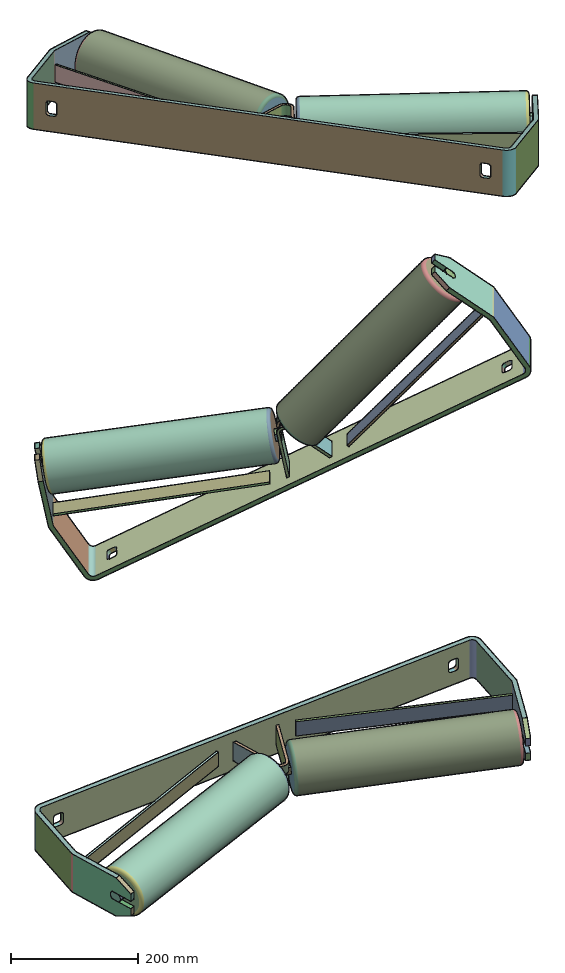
import cadquery as cq
import math


frame_length = 810.0
bar_width = 80.0
bar_thickness = 8.0
corner_radius = 12.0
arm_bend_radius = 8.0
arm_bend_y = 127.0
arm_length = 120.0
tip_chamfer_length = 30.0
tip_chamfer_depth = 17.0
mount_hole_width = 18.0
mount_hole_height = 25.0
mount_hole_corner_radius = 5.0
mount_hole_inset = 45.0

roller_slope = 20.0
roller_dip = 1.0
seat_distance = 88.0

roller_diameter = 89.0
roller_length = 366.0
roller_edge_radius = 6.0
roller_gap = 4.0
shaft_diameter = 20.0
shaft_flat_width = 15.0

bracket_thickness = 5.0
bracket_arch_radius = 10.5
bracket_height = 40.0
brace_thickness = 4.0
brace_height = 30.0
brace_end_x = -70.5

slope_sin = math.sin(math.radians(roller_slope))
slope_cos = math.cos(math.radians(roller_slope))
dip_sin = math.sin(math.radians(roller_dip))
dip_cos = math.cos(math.radians(roller_dip))
arm_direction = cq.Vector(slope_sin, slope_cos, 0)
arm_normal = cq.Vector(slope_cos, -slope_sin, 0)
axis_direction = cq.Vector(slope_cos * dip_cos, -slope_sin * dip_cos, -dip_sin)

arm_bend = cq.Vector(-frame_length / 2, arm_bend_y, 0)
axis_start = arm_bend + arm_direction * seat_distance
roller_start = bar_thickness + roller_gap
bracket_start = roller_start + roller_length + roller_gap
shaft_length = bracket_start + bracket_thickness
shaft_radius = shaft_diameter / 2
flat_offset = shaft_flat_width / 2
flat_half_length = math.sqrt(shaft_radius**2 - flat_offset**2)
axis_plane = cq.Plane(axis_start, arm_direction, axis_direction)
arm_plane = cq.Plane(arm_bend, arm_direction, arm_normal)


def both_sides(left_body):
    """Return a left-hand body and its mirror image."""
    return [left_body, left_body.mirror("YZ")]


def bent_strip(corners, radii, thickness, height):
    """Sweep a flat bar along a centre line whose inner corners are rounded."""
    path = cq.Workplane("XY").moveTo(corners[0].x, corners[0].y)
    for before, corner, after, radius in zip(corners, corners[1:], corners[2:], radii):
        back = (before - corner).normalized()
        ahead = (after - corner).normalized()
        setback = radius / math.tan(back.getAngle(ahead) / 2)
        bend_start = corner + back * setback
        bend_end = corner + ahead * setback
        path = path.lineTo(bend_start.x, bend_start.y)
        path = path.tangentArcPoint((bend_end.x, bend_end.y), relative=False)
    path = path.lineTo(corners[-1].x, corners[-1].y)
    start_plane = cq.Plane(corners[0], cq.Vector(0, 0, 1), corners[1] - corners[0])
    return cq.Workplane(start_plane).rect(height, thickness).sweep(path)


def shaft_bar():
    """Left shaft: a round bar with two flats."""
    return (
        cq.Workplane(axis_plane)
        .moveTo(flat_half_length, flat_offset)
        .lineTo(-flat_half_length, flat_offset)
        .threePointArc((-shaft_radius, 0), (-flat_half_length, -flat_offset))
        .lineTo(flat_half_length, -flat_offset)
        .threePointArc((shaft_radius, 0), (flat_half_length, flat_offset))
        .close()
        .extrude(shaft_length)
    )


def seat_cutter():
    """Open-topped slot for both ends of the left shaft: the shaft and the space above it."""
    return (
        cq.Workplane(axis_plane)
        .workplane(offset=-bar_thickness)
        .moveTo(arm_length, flat_offset)
        .lineTo(-flat_half_length, flat_offset)
        .threePointArc((-shaft_radius, 0), (-flat_half_length, -flat_offset))
        .lineTo(arm_length, -flat_offset)
        .close()
        .extrude(shaft_length + 2 * bar_thickness)
    )


def make_frame():
    """Bent channel with mounting holes in its back, and shaft seats and chamfers at its tips."""
    half_bar = bar_thickness / 2
    side_x = -frame_length / 2 + half_bar
    bend_shift = half_bar * math.tan(math.radians(roller_slope / 2))
    corner = cq.Vector(side_x, half_bar, 0)
    bend = cq.Vector(side_x, arm_bend_y - bend_shift, 0)
    tip = arm_bend + arm_direction * arm_length + arm_normal * half_bar
    left = [tip, bend, corner]
    right = [cq.Vector(-p.x, p.y, 0) for p in reversed(left)]
    radii = [arm_bend_radius, corner_radius, corner_radius, arm_bend_radius]
    frame = bent_strip(left + right, radii, bar_thickness, bar_width)

    hole_x = frame_length / 2 - mount_hole_inset
    holes = (
        cq.Workplane("XZ")
        .pushPoints([(-hole_x, 0), (hole_x, 0)])
        .rect(mount_hole_width, mount_hole_height)
        .extrude(-bar_thickness)
        .edges("|Y")
        .fillet(mount_hole_corner_radius)
    )
    frame = frame.cut(holes)

    half_width = bar_width / 2
    for z_sign in (-1, 1):
        chamfer = (
            cq.Workplane(arm_plane)
            .moveTo(arm_length - tip_chamfer_length, z_sign * half_width)
            .lineTo(arm_length, z_sign * half_width)
            .lineTo(arm_length, z_sign * (half_width - tip_chamfer_depth))
            .close()
            .extrude(bar_thickness)
        )
        for cutter in both_sides(chamfer):
            frame = frame.cut(cutter)
    for seat in both_sides(seat_cutter()):
        frame = frame.cut(seat)
    return frame


def make_bracket():
    """Inverted V with a rounded arch, standing on the inside of the frame back."""
    leg_middle = axis_start + arm_normal * (bracket_start + bracket_thickness / 2)
    apex_y = leg_middle.y - leg_middle.x * slope_cos / slope_sin
    foot_x = -apex_y * slope_sin / slope_cos
    corners = [cq.Vector(foot_x, 0, 0), cq.Vector(0, apex_y, 0), cq.Vector(-foot_x, 0, 0)]
    bracket = bent_strip(corners, [bracket_arch_radius], bracket_thickness, bracket_height)
    back_and_below = cq.Workplane("XY").box(frame_length, 2 * bar_thickness, 2 * bar_width)
    bracket = bracket.cut(back_and_below)
    for seat in both_sides(seat_cutter()):
        bracket = bracket.cut(seat)
    return bracket


def make_roller():
    """Left roller together with its shaft."""
    drum = (
        cq.Workplane(axis_plane)
        .workplane(offset=roller_start)
        .circle(roller_diameter / 2)
        .extrude(roller_length)
        .edges()
        .fillet(roller_edge_radius)
    )
    return drum.union(shaft_bar())


def make_brace(frame):
    """Left stay from the frame back up to the arm bend, trimmed to the frame."""
    foot = cq.Vector(brace_end_x, bar_thickness + brace_thickness * slope_cos, 0)
    brace = (
        cq.Workplane(cq.Plane(foot, arm_normal * -1, cq.Vector(0, 0, 1)))
        .rect(frame_length / 2, brace_thickness, centered=False)
        .extrude(brace_height / 2, both=True)
    )
    inside_length = frame_length - 2 * bar_thickness
    inside = cq.Workplane("XY").box(inside_length, frame_length, bar_width)
    return brace.intersect(inside).cut(frame)


frame = make_frame()
bracket = make_bracket()
rollers = both_sides(make_roller())
braces = both_sides(make_brace(frame))
result = cq.Compound.makeCompound([frame.val(), bracket.val()] + [b.val() for b in rollers + braces])